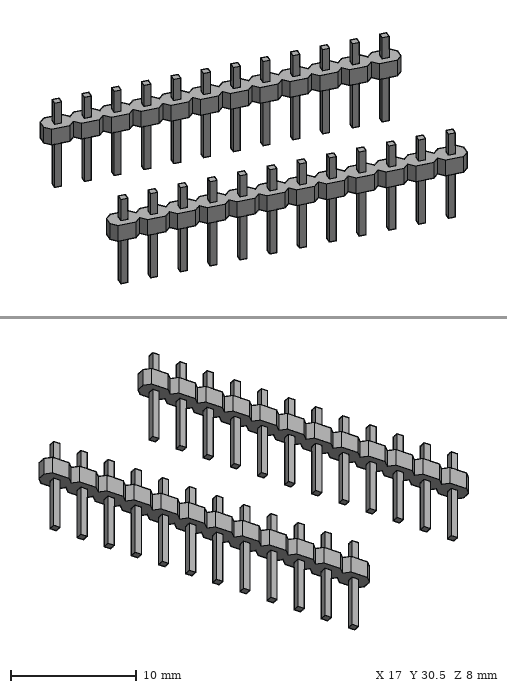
import cadquery as cq

PIN_COUNT = 12
PITCH = 2.54
ROW_SPACING = 6 * PITCH

STRIP_WIDTH = 1.8
STRIP_HEIGHT = 1.5
CORNER_CHAMFER = 0.5

PIN_WIDTH = 0.6
PIN_ABOVE_STRIP = 2.0
PIN_LENGTH = 8.0
PIN_BOTTOM = STRIP_HEIGHT + PIN_ABOVE_STRIP - PIN_LENGTH


def strip_segment(x, y):
    """One octagonal segment of the strip, centred on a pin, with its underside at Z = 0."""
    return (
        cq.Workplane("XY")
        .center(x, y)
        .rect(STRIP_WIDTH, PITCH)
        .extrude(STRIP_HEIGHT)
        .edges("|Z")
        .chamfer(CORNER_CHAMFER)
    )


def pin(x, y):
    """One straight square pin."""
    return (
        cq.Workplane("XY", origin=(0, 0, PIN_BOTTOM))
        .center(x, y)
        .rect(PIN_WIDTH, PIN_WIDTH)
        .extrude(PIN_LENGTH)
    )


def header_row(x):
    """One header: the strip segments and their pins joined into a single solid along Y."""
    first_y = -PITCH * (PIN_COUNT - 1) / 2
    row = cq.Workplane("XY")
    for index in range(PIN_COUNT):
        y = first_y + index * PITCH
        row = row.union(strip_segment(x, y)).union(pin(x, y))
    return row.solids()


headers = [header_row(side * ROW_SPACING / 2) for side in (-1, 1)]

result = cq.Compound.makeCompound([header.val() for header in headers])